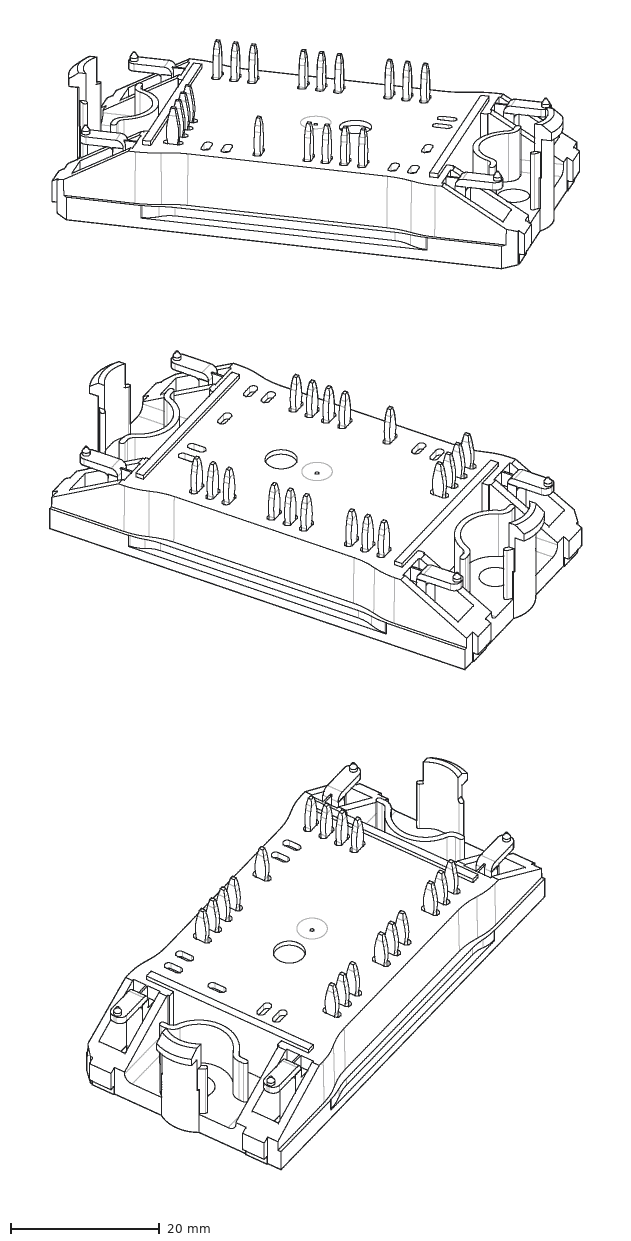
import cadquery as cq
import math

LENGTH = 68.4
WIDTH = 32.5

BASE_Z = 0.2
FLANGE_Z = 3.55
DECK_Z = 11.1

HALF_LENGTH = 32.1
HALF_WIDTH = WIDTH / 2
FLANGE_LEDGE = 0.5
CORNER_CHAMFER = 1.8
WALL_DRAFT = 1.2
SLOPE_TOP_X = 21.8
SLOPE_END_Z = 5.1
PLATE_LENGTH = 38.3
PLATE_WIDTH = 27.15

WAIST_DEPTH = 1.2
WAIST_OUTER_X = 20.85
WAIST_INNER_X = 13.9
GROOVE_OUTER_X = 19.9
GROOVE_CURVE_X = 19.7
GROOVE_INNER_X = 15.3
GROOVE_BOTTOM_Z = 1.7
GROOVE_BACK_Z = 2.3
GROOVE_END_DEPTH = 0.1
GROOVE_DEPTH = 0.51

BAY_HALF_WIDTH = 8.95
BAY_FILLET = 1.2
BAY_BACK_X = 20.6
VENT_HALF_WIDTH = 8.7
VENT_WIDTH = 0.95
WELL_OUTER_X = 30.0
WELL_BACK_X = 21.55
WELL_WIDTH = 4.25
WELL_SPACING = 24.7
WELL_Y = WELL_SPACING / 2
TAB_WIDTH = 3.5
TAB_DEPTH = 0.8
TAB_BOTTOM_Z = 1.65
FOOT_DEPTH = 0.15

SCREW_SPACING = 55.05
SCREW_X = SCREW_SPACING / 2
SCREW_D = 4.3
RING_INNER_R = 4.65
RING_OUTER_R = 5.5
GUARD_TOP_Z = 10.7
GUARD_TAIL_X = 26.3
GUARD_TAIL_Y = 6.65
GUARD_BEND_R = 1.45
CLIP_HALF_WIDTH = 2.8
CLIP_SHANK_HALF_WIDTH = 3.0
CLIP_SHANK_Z = 8.0
CLIP_FOOT_HALF_WIDTH = 3.2
CLIP_TOP_Z = 15.8
EAR_ANGLE = 43
EAR_OUTER_R = 5.35
EAR_TOP_Z = 11.75
HOOK_R = LENGTH / 2 - SCREW_X
HOOK_BOTTOM_Z = 13.6
HOOK_LIP_Z = 14.8

ARM_WIDTH = 2.4
ARM_TIP_X = 29.35
ARM_BOTTOM_Z = 10.4
ARM_TOP_Z = 11.5
ARM_BEND_X = 23.1
ARM_LEG_X = 24.55
ARM_BEND_R = 1.0
ARM_INNER_R = 0.7
ARM_LEG_WIDTH = 2.5
ARM_LINK_Z = 8.9
ARM_RIB_WIDTH = 0.3
ARM_RIB_Z = 11.1
NIB_X = 28.65
NIB_D = 1.1
NIB_SHOULDER_Z = 12.0
NIB_TOP_Z = 12.65
NIB_TIP_D = 0.3

RIDGE_WIDTH = 1.15
RIDGE_LENGTH = 26.1
RIDGE_TOP_Z = 11.7
RECESS_X = 5.55
RECESS_D = 4.3
RECESS_DEPTH = 0.75
DISH_D = 4.1
DISH_DEPTH = 0.3
DISH_HOLE_D = 0.5
DISH_HOLE_DEPTH = 1.0

SLOT_LENGTH = 2.7
SLOT_WIDTH = 1.15
SLOT_DEPTH = 1.0
PIN_GROUP_SPAN = 5.0
PIN_PITCH = PIN_GROUP_SPAN / 2
PIN_TOP_Z = 16.2
PIN_BULGE_Z = 12.8
PIN_WAIST_Z = 14.3
PIN_SHOULDER_Z = 15.2
PIN_BASE_WIDTH = 1.4
PIN_BULGE_WIDTH = 1.7
PIN_SHOULDER_WIDTH = 1.0
PIN_TIP_WIDTH = 0.6
PIN_THICKNESS = 0.8
PIN_TIP_THICKNESS = 0.5
ROW_Y = 11.3
COLUMN_X = 16.75
BLANK_COLUMN_X = 16.7

PINS_ALONG_Y = [(start + i * PIN_PITCH, ROW_Y) for start in (-16.75, -4.8, 7.2) for i in range(3)]
PINS_ALONG_Y += [(x, -ROW_Y) for x in (-4.85, 2.1, 2.1 + PIN_PITCH, 7.2, 7.2 + PIN_PITCH)]
PINS_ALONG_X = [(-COLUMN_X, -ROW_Y + i * PIN_PITCH) for i in range(4)]
BLANKS_ALONG_Y = [(x, -ROW_Y) for x in (-12.1, -9.3, 13.95, BLANK_COLUMN_X)] + [(BLANK_COLUMN_X, -4.25)]
BLANKS_ALONG_X = [(BLANK_COLUMN_X, 3.35), (BLANK_COLUMN_X, 3.35 + PIN_PITCH)]

END_EXCESS = 3.4
CLEARANCE = 0.7
OVERLAP = 0.35


def block(x0, x1, y0, y1, z0, z1):
    return cq.Workplane("XY").box(x1 - x0, y1 - y0, z1 - z0, centered=False).translate((x0, y0, z0))


def cylinder(x, y, diameter, z0, z1):
    return cq.Workplane("XY", origin=(x, y, z0)).circle(diameter / 2).extrude(z1 - z0)


def both_ends(piece):
    """The piece at the -X end together with its mirror image at the +X end."""
    return piece.union(piece.mirror("YZ"))


def waisted_side(sketch, waist, half_width, heading):
    """Draw one waisted long side in the +X (heading 1) or -X (heading -1) direction.

    Two S-curves, each of two equal arcs, lead from the side into its waist and out again.
    """
    outer_x, inner_x, depth = waist
    middle_x = (outer_x + inner_x) / 2
    outer_y = heading * half_width
    middle_y = heading * (half_width - depth / 2)
    inner_y = heading * (half_width - depth)
    return (
        sketch
        .lineTo(-heading * outer_x, outer_y)
        .tangentArcPoint((-heading * middle_x, middle_y), relative=False)
        .tangentArcPoint((-heading * inner_x, inner_y), relative=False)
        .lineTo(heading * inner_x, inner_y)
        .tangentArcPoint((heading * middle_x, middle_y), relative=False)
        .tangentArcPoint((heading * outer_x, outer_y), relative=False)
    )


def outline(half_width, z, waist=None):
    """Rectangular outline of the housing, overlong in X; a waist bows in both long sides."""
    end_x = HALF_LENGTH + END_EXCESS
    sketch = cq.Workplane("XY", origin=(0, 0, z)).moveTo(-end_x, half_width)
    if waist:
        sketch = waisted_side(sketch, waist, half_width, 1)
    sketch = sketch.lineTo(end_x, half_width).lineTo(end_x, -half_width)
    if waist:
        sketch = waisted_side(sketch, waist, half_width, -1)
    return sketch.lineTo(-end_x, -half_width).close()


def flange_groove():
    """Groove with a sloped bottom in the +Y edge of the flange, following the waist."""
    back_y = HALF_WIDTH - GROOVE_DEPTH - GROOVE_END_DEPTH
    outside_y = HALF_WIDTH + CLEARANCE
    groove = cq.Workplane("YZ", origin=(-GROOVE_OUTER_X, 0, 0)).polyline([
        (outside_y, GROOVE_BOTTOM_Z), (HALF_WIDTH, GROOVE_BOTTOM_Z), (back_y, GROOVE_BACK_Z),
        (back_y, FLANGE_Z), (outside_y, FLANGE_Z),
    ]).close().extrude(2 * GROOVE_OUTER_X)
    waist = (GROOVE_CURVE_X, GROOVE_INNER_X, GROOVE_DEPTH)
    core = outline(HALF_WIDTH - GROOVE_END_DEPTH, GROOVE_BOTTOM_Z, waist).extrude(FLANGE_Z)
    return groove.cut(core)


def end_tab(side):
    """Tab on the end face, tall enough to be trimmed by the end slope, over a shallow pad."""
    y0 = side * WELL_Y - TAB_WIDTH / 2
    y1 = y0 + TAB_WIDTH
    inner_x = -HALF_LENGTH + OVERLAP
    tab = block(-HALF_LENGTH - TAB_DEPTH, inner_x, y0, y1, TAB_BOTTOM_Z, SLOPE_END_Z)
    return tab.union(block(-HALF_LENGTH - FOOT_DEPTH, inner_x, y0, y1, BASE_Z, TAB_BOTTOM_Z))


def end_slope():
    """Wedge above the sloped end of the housing, reaching past the end face and its tabs."""
    reach = HALF_LENGTH - SLOPE_TOP_X
    gradient = (DECK_Z - SLOPE_END_Z) / reach
    outside_x = HALF_LENGTH + TAB_DEPTH + CLEARANCE
    outside_z = DECK_Z - gradient * (outside_x - SLOPE_TOP_X)
    return cq.Workplane("XZ", origin=(0, HALF_WIDTH, 0)).polyline([
        (-SLOPE_TOP_X, DECK_Z), (-outside_x, outside_z), (-outside_x, DECK_Z),
    ]).close().extrude(WIDTH)


def housing():
    """Flange, draft-angled upper housing with sloped ends, end tabs and base plate."""
    flange = outline(HALF_WIDTH, BASE_Z).extrude(FLANGE_Z - BASE_Z)
    groove = flange_groove()
    flange = flange.cut(groove).cut(groove.mirror("XZ"))
    waist = (WAIST_OUTER_X, WAIST_INNER_X, WAIST_DEPTH)
    upper = outline(HALF_WIDTH - FLANGE_LEDGE, FLANGE_Z, waist)
    upper = upper.extrude(DECK_Z - FLANGE_Z, taper=WALL_DRAFT)
    envelope = block(-HALF_LENGTH, HALF_LENGTH, -HALF_WIDTH, HALF_WIDTH, BASE_Z, DECK_Z)
    envelope = envelope.edges("|Z and <Y").chamfer(CORNER_CHAMFER)
    body = flange.union(upper).intersect(envelope)
    for side in (-1, 1):
        body = body.union(both_ends(end_tab(side)))
    plate_x = PLATE_LENGTH / 2
    plate_y = PLATE_WIDTH / 2
    plate = block(-plate_x, plate_x, -plate_y, plate_y, 0, BASE_Z)
    return body.cut(both_ends(end_slope())).union(plate)


def end_bay():
    """Open bay around the screw hole, with rounded floor edges and a vent slit along its back wall."""
    outside_x = HALF_LENGTH + CLEARANCE
    bay = block(
        -outside_x, -BAY_BACK_X - VENT_WIDTH,
        -BAY_HALF_WIDTH, BAY_HALF_WIDTH, FLANGE_Z, DECK_Z + CLEARANCE,
    )
    bay = bay.edges("|X and <Z").fillet(BAY_FILLET)
    vent = block(
        -BAY_BACK_X - VENT_WIDTH, -BAY_BACK_X,
        -VENT_HALF_WIDTH, VENT_HALF_WIDTH, 0, DECK_Z + CLEARANCE,
    )
    return bay.union(vent).union(cylinder(-SCREW_X, 0, SCREW_D, 0, FLANGE_Z))


def arm_well(side):
    """Through opening around a spring arm."""
    y0 = side * WELL_Y - WELL_WIDTH / 2
    return block(-WELL_OUTER_X, -WELL_BACK_X, y0, y0 + WELL_WIDTH, 0, DECK_Z + CLEARANCE)


def ring(outer_r, z0, z1):
    """Ring around the screw hole."""
    outer = cylinder(-SCREW_X, 0, 2 * outer_r, z0, z1)
    return outer.cut(cylinder(-SCREW_X, 0, 2 * RING_INNER_R, z0, z1))


def end_band(half_width):
    """Full-height band of the given width on the outer side of the screw axis."""
    return block(-SCREW_X - HOOK_R, -SCREW_X, -half_width, half_width, BASE_Z, CLIP_TOP_Z)


def screw_guard():
    """Arc-shaped wall behind the screw, bending back at both ends into short straight tails."""
    middle_r = (RING_INNER_R + RING_OUTER_R) / 2
    bend_x = GUARD_BEND_R - GUARD_TAIL_X
    span = middle_r + GUARD_BEND_R
    angle = math.acos((bend_x + SCREW_X) / span)
    bend_y = span * math.sin(angle)
    joint = (middle_r * math.cos(angle) - SCREW_X, middle_r * math.sin(angle))
    path = (
        cq.Workplane("XY", origin=(0, 0, FLANGE_Z - OVERLAP))
        .moveTo(-GUARD_TAIL_X, GUARD_TAIL_Y)
        .lineTo(-GUARD_TAIL_X, bend_y)
        .tangentArcPoint(joint, relative=False)
        .threePointArc((middle_r - SCREW_X, 0), (joint[0], -joint[1]))
        .tangentArcPoint((-GUARD_TAIL_X, -bend_y), relative=False)
        .lineTo(-GUARD_TAIL_X, -GUARD_TAIL_Y)
    )
    thickness = RING_OUTER_R - RING_INNER_R
    section = cq.Workplane("XZ", origin=(-GUARD_TAIL_X, GUARD_TAIL_Y, FLANGE_Z - OVERLAP))
    section = section.rect(thickness, 2 * (GUARD_TOP_Z - FLANGE_Z + OVERLAP))
    wall = section.sweep(path, transition="right")
    for tail_y in (-GUARD_TAIL_Y, GUARD_TAIL_Y):
        wall = wall.union(cylinder(-GUARD_TAIL_X, tail_y, thickness, FLANGE_Z - OVERLAP, GUARD_TOP_Z))
    return wall.intersect(block(-HALF_LENGTH, 0, -HALF_WIDTH, HALF_WIDTH, FLANGE_Z - OVERLAP, GUARD_TOP_Z))


def clip_ears():
    """Arc-shaped wings on both sides of the clip with rounded ends."""
    z0 = FLANGE_Z - OVERLAP
    angle = math.radians(EAR_ANGLE)
    reach = HOOK_R * math.tan(angle)
    sector = cq.Workplane("XY", origin=(-SCREW_X, 0, z0)).polyline([
        (0, 0), (-HOOK_R, reach), (-HOOK_R, -reach),
    ]).close().extrude(EAR_TOP_Z - z0)
    ears = ring(EAR_OUTER_R, z0, EAR_TOP_Z).intersect(sector)
    middle_r = (RING_INNER_R + EAR_OUTER_R) / 2
    thickness = EAR_OUTER_R - RING_INNER_R
    x = -SCREW_X - middle_r * math.cos(angle)
    for side in (-1, 1):
        ears = ears.union(cylinder(x, side * middle_r * math.sin(angle), thickness, z0, EAR_TOP_Z))
    return ears


def clip_hook():
    """Outward lip with a sloped top along the upper edge of the clip."""
    middle_r = (RING_INNER_R + RING_OUTER_R) / 2
    hook = cq.Workplane("XZ", origin=(-SCREW_X, 0, 0)).polyline([
        (middle_r, HOOK_BOTTOM_Z), (HOOK_R, HOOK_BOTTOM_Z), (HOOK_R, HOOK_LIP_Z),
        (RING_OUTER_R, CLIP_TOP_Z), (middle_r, CLIP_TOP_Z),
    ]).close().revolve(360, (0, 0, 0), (0, 1, 0))
    return hook.intersect(end_band(CLIP_HALF_WIDTH))


def clip():
    """Upright arc-shaped clip at the end face, widening downwards, with ears and an outward hook."""
    steps = (
        (CLIP_HALF_WIDTH, CLIP_TOP_Z),
        (CLIP_SHANK_HALF_WIDTH, CLIP_SHANK_Z),
        (CLIP_FOOT_HALF_WIDTH, FLANGE_Z),
    )
    upright = clip_ears().union(clip_hook())
    for half_width, top_z in steps:
        upright = upright.union(ring(RING_OUTER_R, BASE_Z, top_z).intersect(end_band(half_width)))
    return upright


def spring_arm(side):
    """L-shaped arm rising from the well, with a pointed nib on its free end."""
    y = side * WELL_Y
    y0 = y - ARM_WIDTH / 2
    y1 = y + ARM_WIDTH / 2
    leg_y0 = y - ARM_LEG_WIDTH / 2
    leg_y1 = y + ARM_LEG_WIDTH / 2
    beam = block(-ARM_TIP_X, -ARM_BEND_X, y0, y1, ARM_BOTTOM_Z, ARM_TOP_Z)
    beam = beam.edges(">X and >Z").fillet(ARM_BEND_R).edges("|Z and <X").fillet(ARM_BEND_R)
    leg = block(-ARM_LEG_X, -ARM_BEND_X, leg_y0, leg_y1, BASE_Z, ARM_BOTTOM_Z)
    brace_x = -ARM_LEG_X - ARM_INNER_R
    brace_z = ARM_BOTTOM_Z - ARM_INNER_R
    brace = block(brace_x, -ARM_LEG_X, y0, y1, brace_z, ARM_BOTTOM_Z)
    brace = brace.cut(
        cq.Workplane("XZ", origin=(brace_x, y1, brace_z)).circle(ARM_INNER_R).extrude(ARM_WIDTH)
    )
    link = block(-ARM_BEND_X - OVERLAP, -WELL_BACK_X + OVERLAP, leg_y0, leg_y1, BASE_Z, ARM_LINK_Z)
    rib_y = ARM_RIB_WIDTH / 2
    rib = block(-ARM_LEG_X, -WELL_BACK_X + OVERLAP, y - rib_y, y + rib_y, ARM_LINK_Z, ARM_RIB_Z)
    stem = cylinder(-NIB_X, y, NIB_D, ARM_BOTTOM_Z, NIB_SHOULDER_Z)
    point = cq.Workplane("XY", origin=(-NIB_X, y, NIB_SHOULDER_Z)).circle(NIB_D / 2)
    point = point.workplane(offset=NIB_TOP_Z - NIB_SHOULDER_Z).circle(NIB_TIP_D / 2).loft()
    arm = beam
    for piece in (leg, brace, link, rib, stem, point):
        arm = arm.union(piece)
    return arm


def ridge():
    """Low bar along the deck edge, flush with the back wall of the bay."""
    return block(
        -BAY_BACK_X, -BAY_BACK_X + RIDGE_WIDTH,
        -RIDGE_LENGTH / 2, RIDGE_LENGTH / 2, DECK_Z - OVERLAP, RIDGE_TOP_Z,
    )


def dish():
    """Shallow spherical dish in the middle of the deck with a small hole at its centre."""
    radius = ((DISH_D / 2) ** 2 + DISH_DEPTH ** 2) / (2 * DISH_DEPTH)
    ball = cq.Workplane("XY").sphere(radius).translate((0, 0, DECK_Z - DISH_DEPTH + radius))
    return ball.union(cylinder(0, 0, DISH_HOLE_D, DECK_Z - DISH_HOLE_DEPTH, DECK_Z))


def slots(places, angle):
    """Slots in the deck; an angle of 0 runs them along X, 90 along Y."""
    bottom = cq.Workplane("XY", origin=(0, 0, DECK_Z - SLOT_DEPTH))
    return bottom.pushPoints(places).slot2D(SLOT_LENGTH, SLOT_WIDTH, angle).extrude(SLOT_DEPTH)


def pin():
    """Press-fit pin, wide along X and thin along Y, standing on the floor of its slot."""
    floor_z = DECK_Z - SLOT_DEPTH - OVERLAP
    base_x = PIN_BASE_WIDTH / 2
    bulge_x = PIN_BULGE_WIDTH / 2
    shoulder_x = PIN_SHOULDER_WIDTH / 2
    tip_x = PIN_TIP_WIDTH / 2
    front = (
        cq.Workplane("XZ")
        .moveTo(-base_x, floor_z)
        .lineTo(base_x, floor_z)
        .lineTo(base_x, DECK_Z)
        .threePointArc((bulge_x, PIN_BULGE_Z), (base_x, PIN_WAIST_Z))
        .lineTo(shoulder_x, PIN_SHOULDER_Z)
        .lineTo(tip_x, PIN_TOP_Z)
        .lineTo(-tip_x, PIN_TOP_Z)
        .lineTo(-shoulder_x, PIN_SHOULDER_Z)
        .lineTo(-base_x, PIN_WAIST_Z)
        .threePointArc((-bulge_x, PIN_BULGE_Z), (-base_x, DECK_Z))
        .close()
    )
    edge = [
        (PIN_THICKNESS / 2, floor_z),
        (PIN_THICKNESS / 2, PIN_SHOULDER_Z),
        (PIN_TIP_THICKNESS / 2, PIN_TOP_Z),
    ]
    profile = cq.Workplane("YZ").polyline(edge + [(-y, z) for y, z in reversed(edge)]).close()
    return front.extrude(PIN_THICKNESS, both=True).intersect(profile.extrude(PIN_BULGE_WIDTH, both=True))


result = housing()

result = result.cut(both_ends(end_bay()))
for side in (-1, 1):
    result = result.cut(both_ends(arm_well(side)))
    result = result.union(both_ends(spring_arm(side)))
for end_piece in (screw_guard(), clip(), ridge()):
    result = result.union(both_ends(end_piece))

result = result.cut(dish()).cut(cylinder(RECESS_X, 0, RECESS_D, DECK_Z - RECESS_DEPTH, DECK_Z))
result = result.cut(slots(PINS_ALONG_X + BLANKS_ALONG_X, 0)).cut(slots(PINS_ALONG_Y + BLANKS_ALONG_Y, 90))
for places, angle in ((PINS_ALONG_X, 0), (PINS_ALONG_Y, 90)):
    turned_pin = pin().rotate((0, 0, 0), (0, 0, 1), angle)
    for x, y in places:
        result = result.union(turned_pin.translate((x, y, 0)))